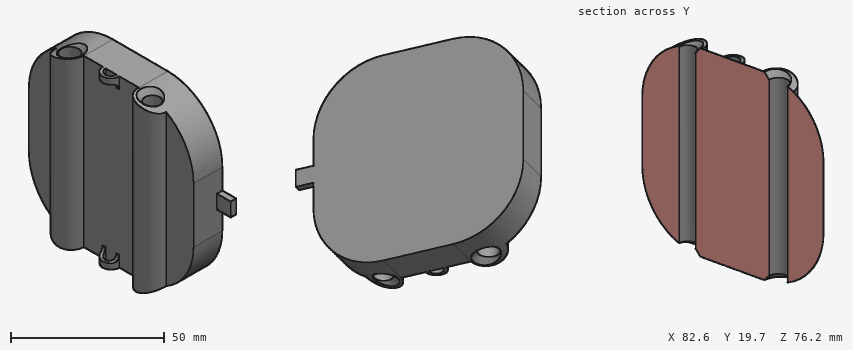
import cadquery as cq
import math

PLATE_SIZE = 76.2
PLATE_THICKNESS = 13.3
CORNER_RADIUS = PLATE_SIZE / 3
TUBE_RADIUS = PLATE_SIZE / 12
TUBE_X = PLATE_SIZE / 4
LEFT_BORE_DIAMETER = 7.6
RIGHT_BORE_DIAMETER = 6.6
COUNTERSINK_ANGLE = 82
COUNTERSINK_FLARE = 2.0
TAB_LENGTH = 6.35
TAB_HEIGHT = 6.35
TAB_THICKNESS = 2.6
LOOP_OUTER_RADIUS = 7.7 / 2
LOOP_INNER_RADIUS = 2.6
LOOP_BAND_HEIGHT = 2.6
LOOP_RELIEF_RADIUS = 2.6
LOOP_TIP_THICKNESS = 0.2
LOOP_LEG_HEIGHT = LOOP_BAND_HEIGHT + LOOP_RELIEF_RADIUS

half_size = PLATE_SIZE / 2
countersink_depth = COUNTERSINK_FLARE / math.tan(math.radians(COUNTERSINK_ANGLE / 2))


def rounded_block(front_y, back_y):
    """Rounded-square block between two Y positions."""
    depth = back_y - front_y
    block = cq.Workplane("XY").box(PLATE_SIZE, depth, PLATE_SIZE)
    return block.edges("|Y").fillet(CORNER_RADIUS).translate((0, (front_y + back_y) / 2, 0))


def upright_cylinder(x, radius, bottom_z, height):
    """Cylinder along Z with its axis on the front face."""
    return cq.Workplane("XY", origin=(x, 0, bottom_z)).circle(radius).extrude(height)


def tube_cutter(x, diameter):
    """Through bore with a conical countersink at each end."""
    radius = diameter / 2
    mouth_radius = radius + COUNTERSINK_FLARE
    throat_z = half_size - countersink_depth
    profile = [
        (0, -half_size),
        (mouth_radius, -half_size),
        (radius, -throat_z),
        (radius, throat_z),
        (mouth_radius, half_size),
        (0, half_size),
    ]
    cutter = cq.Workplane("XZ").polyline(profile).close().revolve(360, (0, 0), (0, 1))
    return cutter.translate((x, 0, 0))


def top_loop():
    """Half-round strap loop whose two legs curve back toward the plate below its band."""
    relief_center_y = -LOOP_TIP_THICKNESS - LOOP_RELIEF_RADIUS
    bottom_z = half_size - LOOP_LEG_HEIGHT
    loop = upright_cylinder(0, LOOP_OUTER_RADIUS, bottom_z, LOOP_LEG_HEIGHT)
    loop = loop.cut(upright_cylinder(0, LOOP_INNER_RADIUS, bottom_z, LOOP_LEG_HEIGHT))
    relief = (
        cq.Workplane("YZ", origin=(-LOOP_OUTER_RADIUS, 0, bottom_z))
        .moveTo(-LOOP_TIP_THICKNESS, 0)
        .radiusArc((relief_center_y, LOOP_RELIEF_RADIUS), -LOOP_RELIEF_RADIUS)
        .lineTo(-LOOP_OUTER_RADIUS, LOOP_RELIEF_RADIUS)
        .lineTo(-LOOP_OUTER_RADIUS, 0)
        .close()
        .extrude(2 * LOOP_OUTER_RADIUS)
    )
    front_half = cq.Workplane("XY").box(
        PLATE_SIZE, PLATE_SIZE, PLATE_SIZE).translate((0, -half_size, 0))
    return loop.cut(relief).intersect(front_half)


plate = rounded_block(0, PLATE_THICKNESS)
tube_envelope = rounded_block(-TUBE_RADIUS, PLATE_THICKNESS)
result = plate
for tube_x in (-TUBE_X, TUBE_X):
    tube = upright_cylinder(tube_x, TUBE_RADIUS, -half_size, PLATE_SIZE)
    result = result.union(tube.intersect(tube_envelope))

result = result.cut(tube_cutter(-TUBE_X, LEFT_BORE_DIAMETER))
result = result.cut(tube_cutter(TUBE_X, RIGHT_BORE_DIAMETER))

loop = top_loop()
result = result.union(loop).union(loop.mirror("XY"))

tab_overlap = TAB_THICKNESS
tab = cq.Workplane("XY").box(TAB_LENGTH + tab_overlap, TAB_THICKNESS, TAB_HEIGHT)
tab = tab.translate((
    half_size + (TAB_LENGTH - tab_overlap) / 2,
    PLATE_THICKNESS - TAB_THICKNESS / 2,
    0,
))
result = result.union(tab)